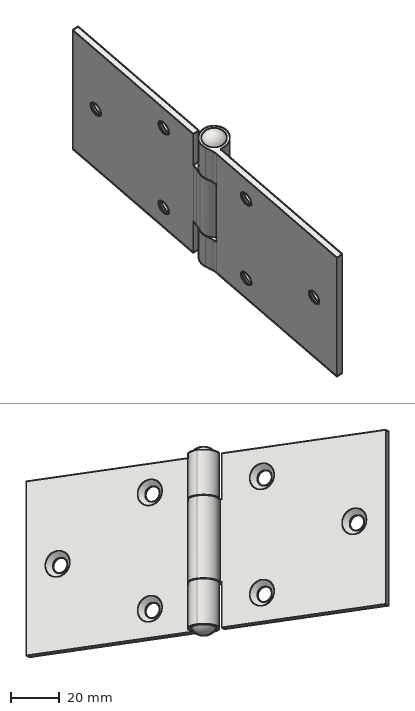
import cadquery as cq
import math

hinge_width = 165.0
leaf_height = 75.0
leaf_thickness = 3.0

knuckle_diameter = 13.0
knuckle_radius = knuckle_diameter / 2
middle_knuckle_length = 35.6
knuckle_gap = 0.3
bend_angle = math.radians(15)
bend_slope_length = 3.6
bend_radius = 7.6

pin_radius = knuckle_radius - leaf_thickness
head_radius = 5.3
head_height = 3.0

hole_diameter = 6.6
hole_land = 0.7
countersink_angle = 90
outer_hole_x = 68.1
inner_hole_x = 25.7
inner_hole_z = 25.0

bend_sin = math.sin(bend_angle)
bend_cos = math.cos(bend_angle)
slope_start = (knuckle_radius * bend_sin, -knuckle_radius * bend_cos)
slope_end = (
    slope_start[0] + bend_slope_length * bend_cos,
    slope_start[1] + bend_slope_length * bend_sin,
)
leaf_inner_x = slope_end[0] + bend_radius * bend_sin
leaf_front_y = slope_end[1] + bend_radius * (1 - bend_cos)
leaf_back_y = leaf_front_y + leaf_thickness
bend_mid = (
    leaf_inner_x - bend_radius * math.sin(bend_angle / 2),
    leaf_front_y - bend_radius * (1 - math.cos(bend_angle / 2)),
)

countersink_depth = leaf_thickness - hole_land
countersink_flare = countersink_depth * math.tan(math.radians(countersink_angle / 2))
countersink_diameter = hole_diameter + 2 * countersink_flare

middle_half_length = middle_knuckle_length / 2
end_knuckle_start = middle_half_length + knuckle_gap
end_knuckle_length = leaf_height / 2 - end_knuckle_start


def make_plate():
    """Flat leaf on the +X side with its three countersunk screw holes."""
    plate_width = hinge_width / 2 - leaf_inner_x
    plate = cq.Workplane("XY").box(plate_width, leaf_thickness, leaf_height, centered=(False, False, True))
    plate = plate.translate((leaf_inner_x, leaf_front_y, 0))
    hole_spots = [(outer_hole_x, 0), (inner_hole_x, inner_hole_z), (inner_hole_x, -inner_hole_z)]
    for hole_x, hole_z in hole_spots:
        plate = (
            plate.faces(">Y")
            .workplane(origin=(hole_x, leaf_back_y, hole_z))
            .cskHole(hole_diameter, countersink_diameter, countersink_angle)
        )
    return plate


def make_knuckle(bottom_z, length):
    """Knuckle and bend on the +X side; the rolled end drops straight onto the leaf."""
    return (
        cq.Workplane("XY", origin=(0, 0, bottom_z))
        .moveTo(leaf_inner_x, leaf_front_y)
        .threePointArc(bend_mid, slope_end)
        .lineTo(*slope_start)
        .threePointArc((-knuckle_radius, 0), (0, knuckle_radius))
        .threePointArc(
            (knuckle_radius * math.sqrt(0.5), knuckle_radius * math.sqrt(0.5)),
            (knuckle_radius, 0),
        )
        .lineTo(knuckle_radius, leaf_back_y)
        .lineTo(leaf_inner_x, leaf_back_y)
        .close()
        .extrude(length)
    )


def make_pin():
    """Pin with a spherical cap at each end, revolved about the hinge axis."""
    shoulder_z = leaf_height / 2
    tip_z = shoulder_z + head_height
    cap_radius = (head_radius**2 + head_height**2) / (2 * head_height)
    cap_half_angle = math.asin(head_radius / cap_radius) / 2
    cap_mid_x = cap_radius * math.sin(cap_half_angle)
    cap_mid_z = tip_z - cap_radius * (1 - math.cos(cap_half_angle))
    return (
        cq.Workplane("XZ")
        .moveTo(0, -tip_z)
        .threePointArc((cap_mid_x, -cap_mid_z), (head_radius, -shoulder_z))
        .lineTo(pin_radius, -shoulder_z)
        .lineTo(pin_radius, shoulder_z)
        .lineTo(head_radius, shoulder_z)
        .threePointArc((cap_mid_x, cap_mid_z), (0, tip_z))
        .close()
        .revolve(360, (0, 0, 0), (0, 1, 0))
    )


def make_pin_leaf():
    """Right leaf: two end knuckles with the pin fixed in them."""
    leaf = make_plate()
    for bottom_z in (-leaf_height / 2, end_knuckle_start):
        leaf = leaf.union(make_knuckle(bottom_z, end_knuckle_length))
    return leaf.union(make_pin())


def make_swing_leaf():
    """Left leaf: one middle knuckle bored for the pin."""
    knuckle = make_knuckle(-middle_half_length, middle_knuckle_length)
    bore = (
        cq.Workplane("XY", origin=(0, 0, -middle_half_length))
        .circle(pin_radius)
        .extrude(middle_knuckle_length)
    )
    return make_plate().union(knuckle.cut(bore)).mirror("YZ")


pin_leaf = make_pin_leaf()
swing_leaf = make_swing_leaf()

result = cq.Compound.makeCompound([pin_leaf.val(), swing_leaf.val()])